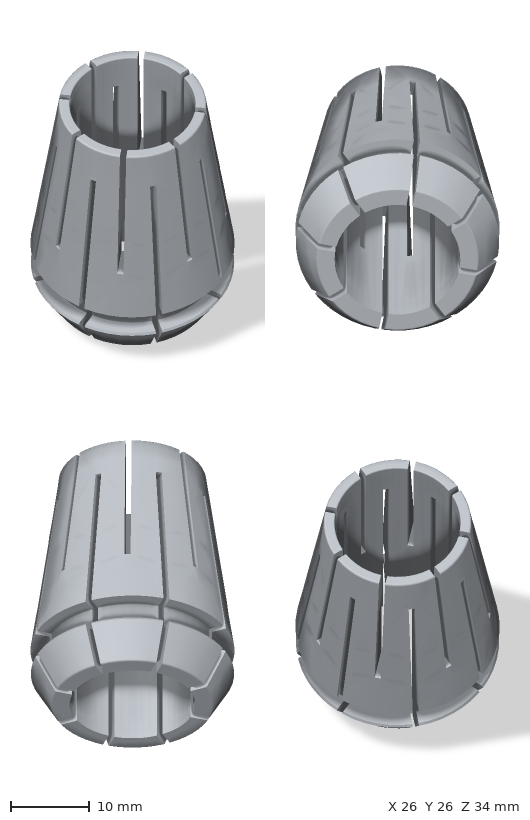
import cadquery as cq
import math


height = 34.0
max_diameter = 26.0
bore_diameter = 16.0
groove_diameter = 22.0
groove_bottom = 4.95
groove_top = 8.1
clamp_angle = 8.0
nut_angle = 30.0
flange_diameter = 25.9
flange_bevel_width = 0.2
flange_bevel_height = 0.32
rim_round = 0.3
bore_round = 0.2
base_round = 0.3
groove_fillet = 0.2

slot_width = 0.8
slots_per_end = 8
lower_slot_top = 29.0
upper_slot_bottom = 15.0

max_radius = max_diameter / 2
groove_radius = groove_diameter / 2
bore_radius = bore_diameter / 2
flange_radius = flange_diameter / 2
flange_edge = groove_bottom - flange_bevel_height
top_radius = max_radius - (height - groove_top) * math.tan(math.radians(clamp_angle))
base_radius = flange_radius - flange_edge * math.tan(math.radians(nut_angle))
slot_pitch = 360.0 / slots_per_end


def ring_edges(body, radius, z):
    """Circular edges of the given radius at height z."""
    tolerance = 0.001
    box = (-radius - tolerance, -radius - tolerance, z - tolerance,
           radius + tolerance, radius + tolerance, z + tolerance)
    edges = body.edges(cq.selectors.BoxSelector(box[:3], box[3:], boundingbox=True))
    return edges.filter(lambda edge: abs(edge.radius() - radius) < tolerance)


def make_sleeve():
    """Revolved sleeve with its edges broken, before slotting."""
    profile = [
        (bore_radius, 0),
        (base_radius, 0),
        (flange_radius, flange_edge),
        (flange_radius - flange_bevel_width, groove_bottom),
        (groove_radius, groove_bottom),
        (groove_radius, groove_top),
        (max_radius, groove_top),
        (top_radius, height),
        (bore_radius, height),
    ]
    sleeve = cq.Workplane("XZ").polyline(profile).close().revolve(360, (0, 0), (0, 1))
    sleeve = ring_edges(sleeve, groove_radius, groove_bottom).fillet(groove_fillet)
    sleeve = ring_edges(sleeve, groove_radius, groove_top).fillet(groove_fillet)
    sleeve = ring_edges(sleeve, top_radius, height).fillet(rim_round)
    sleeve = ring_edges(sleeve, base_radius, 0).fillet(base_round)
    return ring_edges(sleeve, bore_radius, height).fillet(bore_round)


def cut_slots(body, bottom, top, first_angle):
    """Cut a ring of radial slots through the wall between two heights."""
    slot = cq.Workplane("XY", origin=(0, 0, bottom)).box(
        max_diameter, slot_width, top - bottom, centered=(False, True, False))
    for index in range(slots_per_end):
        angle = first_angle + index * slot_pitch
        body = body.cut(slot.rotate((0, 0, 0), (0, 0, 1), angle))
    return body


collet = make_sleeve()
collet = cut_slots(collet, 0, lower_slot_top, 0)
collet = cut_slots(collet, upper_slot_bottom, height, slot_pitch / 2)

result = collet